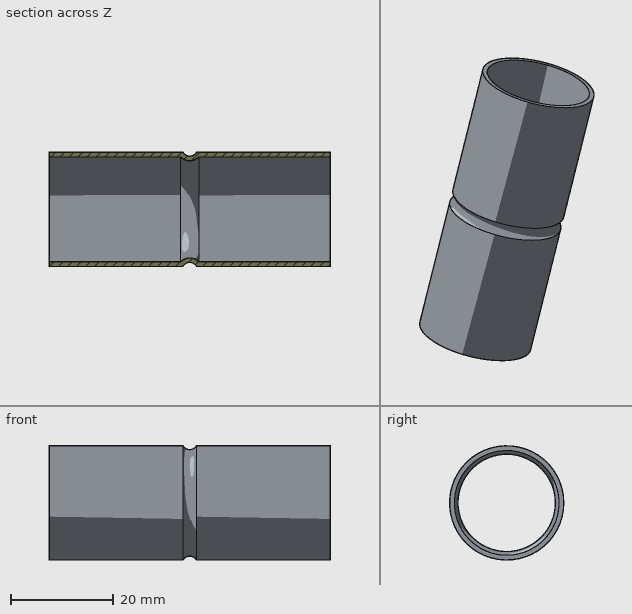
import cadquery as cq
import math

sleeve_length = 55.0
outer_diameter = 22.4
bore_diameter = 20.5
groove_depth = 0.75
groove_radius = 1.5

outer_radius = outer_diameter / 2
bore_radius = bore_diameter / 2
half_length = sleeve_length / 2

wall = outer_radius - bore_radius
bead_radius = groove_radius + wall


def half_chord(arc_radius, arc_depth):
    """Half the width of an arc of the given radius that is sunk to the given depth."""
    return math.sqrt(arc_radius**2 - (arc_radius - arc_depth) ** 2)


def wall_profile():
    """Wall section on one side of the axis, pressed inward at mid-length."""
    half_groove = half_chord(groove_radius, groove_depth)
    half_bead = half_chord(bead_radius, groove_depth)
    return (
        cq.Workplane("XY")
        .moveTo(-half_length, bore_radius)
        .lineTo(-half_bead, bore_radius)
        .threePointArc((0, bore_radius - groove_depth), (half_bead, bore_radius))
        .lineTo(half_length, bore_radius)
        .lineTo(half_length, outer_radius)
        .lineTo(half_groove, outer_radius)
        .threePointArc((0, outer_radius - groove_depth), (-half_groove, outer_radius))
        .lineTo(-half_length, outer_radius)
        .close()
    )


result = wall_profile().revolve(360, (0, 0, 0), (1, 0, 0))